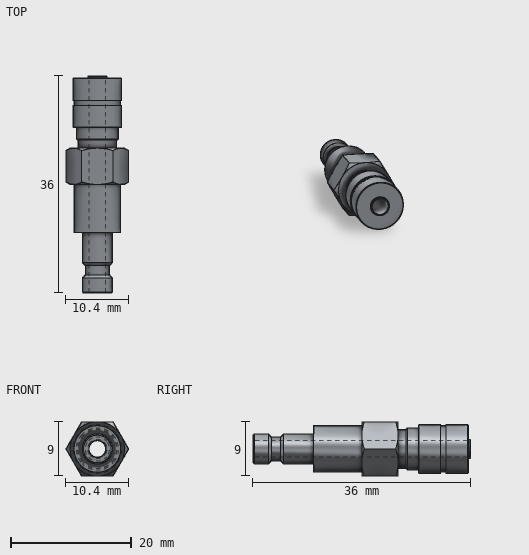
import cadquery as cq
import math

length = 36.0
body_start = 10.0
hex_start = 18.0
hex_end = 24.0
rim_start = 25.35
collar_start = 27.4
collar_end = 35.65

bore_diameter = 2.75
plug_diameter = 5.0
plug_neck_diameter = 4.0
body_diameter = 7.7
neck_diameter = 6.4
rim_diameter = 7.0
collar_diameter = 8.05
nozzle_diameter = 3.15

hex_across_flats = 9.0
hex_chamfer_angle = 30.0

plug_groove_start = 2.52
plug_groove_end = 5.05
plug_groove_depth = (plug_diameter - plug_neck_diameter) / 2

collar_groove_start = 31.05
collar_groove_width = 0.85
collar_groove_diameter = 7.7

tip_chamfer = 0.2
rim_chamfer = 0.2
collar_chamfer = 0.1
nozzle_chamfer = 0.1


def cylinder(diameter, start, end):
    """Solid cylinder around the Y axis between two Y positions."""
    base = cq.Workplane("XZ", origin=(0, start, 0))
    return base.circle(diameter / 2).extrude(start - end)


def revolve_profile(points):
    """Revolve (radius, Y) points around the Y axis."""
    return cq.Workplane("XY").polyline(points).close().revolve(360, (0, 0), (0, 1))


def make_plug():
    radius = plug_diameter / 2
    neck_radius = plug_neck_diameter / 2
    return revolve_profile([
        (0, 0),
        (radius - tip_chamfer, 0),
        (radius, tip_chamfer),
        (radius, plug_groove_start),
        (neck_radius, plug_groove_start + plug_groove_depth),
        (neck_radius, plug_groove_end - plug_groove_depth),
        (radius, plug_groove_end),
        (radius, body_start),
        (0, body_start),
    ])


def make_hexagon():
    """Hexagon with corners on the X axis, both ends trimmed by cones."""
    flat_radius = hex_across_flats / 2
    corner_radius = flat_radius / math.cos(math.pi / 6)
    drop = (corner_radius - flat_radius) * math.tan(math.radians(hex_chamfer_angle))
    prism = (
        cq.Workplane("XZ", origin=(0, hex_start, 0))
        .polygon(6, 2 * corner_radius)
        .extrude(hex_start - hex_end)
    )
    envelope = revolve_profile([
        (0, hex_start),
        (flat_radius, hex_start),
        (corner_radius, hex_start + drop),
        (corner_radius, hex_end - drop),
        (flat_radius, hex_end),
        (0, hex_end),
    ])
    return prism.intersect(envelope)


def make_collar():
    collar = cylinder(collar_diameter, collar_start, collar_end).edges().chamfer(collar_chamfer)
    groove_end = collar_groove_start + collar_groove_width
    groove = cylinder(collar_diameter, collar_groove_start, groove_end).cut(
        cylinder(collar_groove_diameter, collar_groove_start, groove_end)
    )
    return collar.cut(groove)


body = cylinder(body_diameter, body_start, hex_start)
neck = cylinder(neck_diameter, hex_end, rim_start)
rim = cylinder(rim_diameter, rim_start, collar_start).faces("<Y").chamfer(rim_chamfer)
nozzle = cylinder(nozzle_diameter, collar_end, length).faces(">Y").chamfer(nozzle_chamfer)

result = make_plug()
for section in (body, make_hexagon(), neck, rim, make_collar(), nozzle):
    result = result.union(section)
result = result.cut(cylinder(bore_diameter, 0, length))